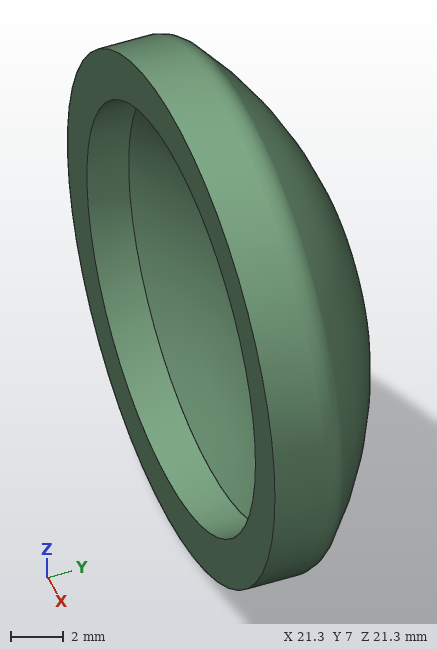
import cadquery as cq
import math

outer_radius = 10.65
total_depth = 7.0
wall = 2.0
dome_radius = 15.0
edge_radius = 1.15

rim_y = -total_depth / 2
apex_y = total_depth / 2
dome_center_y = apex_y - dome_radius
bore_radius = outer_radius - wall
inner_dome_radius = dome_radius - wall
inner_apex_y = apex_y - wall


def height_on_dome(radius, distance):
    """Y of the dome surface at a distance from the axis."""
    return dome_center_y + math.sqrt(radius**2 - distance**2)


def point_on_dome(angle):
    """Outer dome point at an angle from the dome axis."""
    x = dome_radius * math.sin(angle)
    y = dome_center_y + dome_radius * math.cos(angle)
    return x, y


edge_center_x = outer_radius - edge_radius
edge_center_y = height_on_dome(dome_radius - edge_radius, edge_center_x)
tangent_angle = math.asin(edge_center_x / (dome_radius - edge_radius))
edge_mid_angle = (math.pi / 2 + tangent_angle) / 2
edge_mid = (
    edge_center_x + edge_radius * math.sin(edge_mid_angle),
    edge_center_y + edge_radius * math.cos(edge_mid_angle),
)

bore_end_y = height_on_dome(inner_dome_radius, bore_radius)
inner_mid_x = bore_radius / 2
inner_mid = (inner_mid_x, height_on_dome(inner_dome_radius, inner_mid_x))

section = (
    cq.Workplane("XY")
    .moveTo(bore_radius, rim_y)
    .lineTo(outer_radius, rim_y)
    .lineTo(outer_radius, edge_center_y)
    .threePointArc(edge_mid, point_on_dome(tangent_angle))
    .threePointArc(point_on_dome(tangent_angle / 2), (0, apex_y))
    .lineTo(0, inner_apex_y)
    .threePointArc(inner_mid, (bore_radius, bore_end_y))
    .close()
)
result = section.revolve(360, (0, 0, 0), (0, 1, 0))